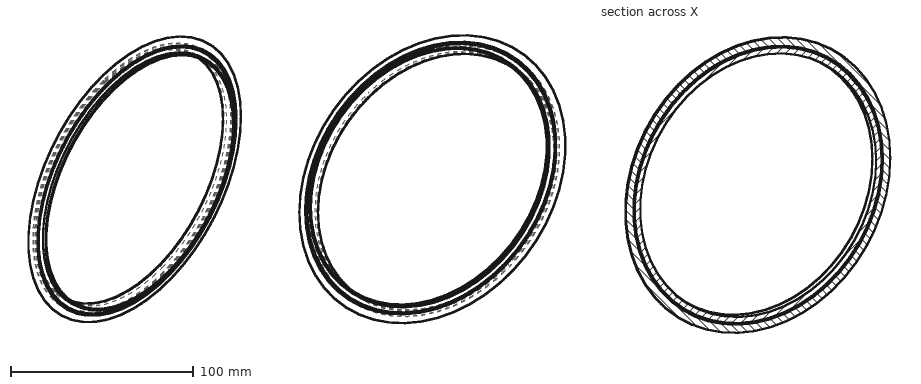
import cadquery as cq


sleeve_width = 8.0
sleeve_inner_diameter = 151.0
sleeve_outer_diameter = 153.0
sleeve_chamfer = 0.2

collar_width = 4.0
collar_diameter = 161.0
collar_chamfer = 0.1
groove_width = 3.0
groove_floor_diameter = 158.5

seal_outer_diameter = 169.8
seal_section_diameter = 5.0
seal_centre_radius = (seal_outer_diameter - seal_section_diameter) / 2


def make_ring(width, inner_diameter, outer_diameter):
    """Ring of rectangular section about the X axis, centred on X = 0."""
    return (
        cq.Workplane("YZ", origin=(-width / 2, 0, 0))
        .circle(outer_diameter / 2)
        .circle(inner_diameter / 2)
        .extrude(width)
    )


def make_seal():
    """O-ring: a round section revolved about the X axis."""
    return (
        cq.Workplane("XY")
        .moveTo(0, seal_centre_radius)
        .circle(seal_section_diameter / 2)
        .revolve(360, (0, 0), (1, 0))
    )


def make_sleeve():
    """Thin sleeve with all four rim edges broken."""
    sleeve = make_ring(sleeve_width, sleeve_inner_diameter, sleeve_outer_diameter)
    return sleeve.edges("%CIRCLE").chamfer(sleeve_chamfer)


def make_collar():
    """Collar with broken outer edges and a flat-floored groove in its rim."""
    collar = make_ring(collar_width, sleeve_outer_diameter, collar_diameter)
    collar = collar.edges(cq.selectors.RadiusNthSelector(-1)).chamfer(collar_chamfer)
    groove = make_ring(groove_width, groove_floor_diameter, collar_diameter)
    return collar.cut(groove)


def make_carrier(seal):
    """Sleeve and collar in one piece; the groove lips are hollowed to seat the seal."""
    return make_sleeve().union(make_collar()).cut(seal)


seal = make_seal()
carrier = make_carrier(seal)
result = cq.Compound.makeCompound([carrier.val(), seal.val()])